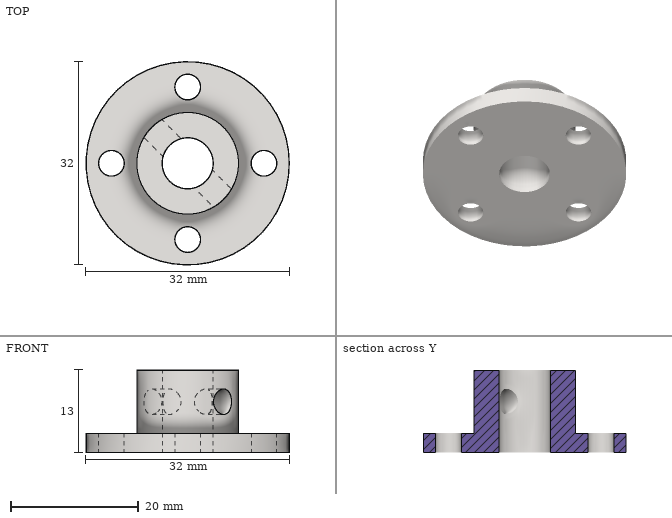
import cadquery as cq

flange_diameter = 32.0
flange_thickness = 3.0
hub_diameter = flange_diameter / 2
bore_diameter = hub_diameter / 2
total_height = 13.0

mount_hole_diameter = 4.0
mount_hole_count = 4
mount_circle_radius = (flange_diameter + hub_diameter) / 4

screw_hole_diameter = 4.0
screw_hole_height = (flange_thickness + total_height) / 2
screw_hole_direction = (1, -1, 0)


def make_body():
    """Round flange with a concentric hub on top."""
    flange = cq.Workplane("XY").circle(flange_diameter / 2).extrude(flange_thickness)
    hub = cq.Workplane("XY").circle(hub_diameter / 2).extrude(total_height)
    return flange.union(hub)


def make_bore():
    return cq.Workplane("XY").circle(bore_diameter / 2).extrude(total_height)


def make_mount_holes():
    """Evenly spaced holes through the flange, the first on the +X axis."""
    return (
        cq.Workplane("XY")
        .polarArray(mount_circle_radius, 0, 360, mount_hole_count)
        .circle(mount_hole_diameter / 2)
        .extrude(flange_thickness)
    )


def make_screw_hole():
    """Radial hole running diagonally between the mounting holes."""
    plane = cq.Plane(origin=(0, 0, screw_hole_height), xDir=(0, 0, 1), normal=screw_hole_direction)
    return cq.Workplane(plane).circle(screw_hole_diameter / 2).extrude(hub_diameter, both=True)


result = make_body().cut(make_bore()).cut(make_mount_holes()).cut(make_screw_hole())